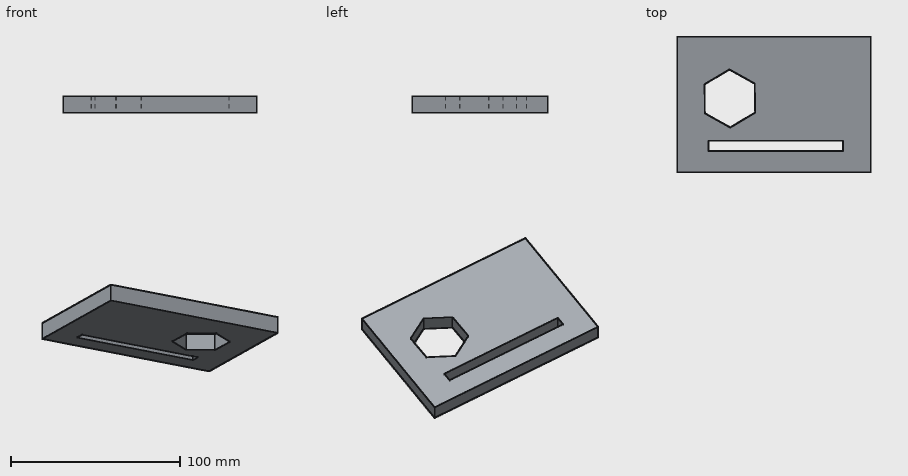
import cadquery as cq

plate_length = 114.4
plate_width = 80.1
plate_thickness = 10.0

hex_center_x = 31.1
hex_center_y = 43.6
hex_corner_diameter = 34.1
hex_tilt = 0.8
corner_up_angle = 90.0

slot_left = 18.5
slot_bottom = 12.7
slot_length = 79.4
slot_width = 5.8


def make_plate():
    return cq.Workplane("XY").box(plate_length, plate_width, plate_thickness, centered=False)


def make_hex_cutter():
    return (
        cq.Workplane("XY")
        .polygon(6, hex_corner_diameter)
        .extrude(plate_thickness)
        .rotate((0, 0, 0), (0, 0, 1), corner_up_angle + hex_tilt)
        .translate((hex_center_x, hex_center_y, 0))
    )


def make_slot_cutter():
    return (
        cq.Workplane("XY")
        .box(slot_length, slot_width, plate_thickness, centered=False)
        .translate((slot_left, slot_bottom, 0))
    )


result = make_plate().cut(make_hex_cutter()).cut(make_slot_cutter())